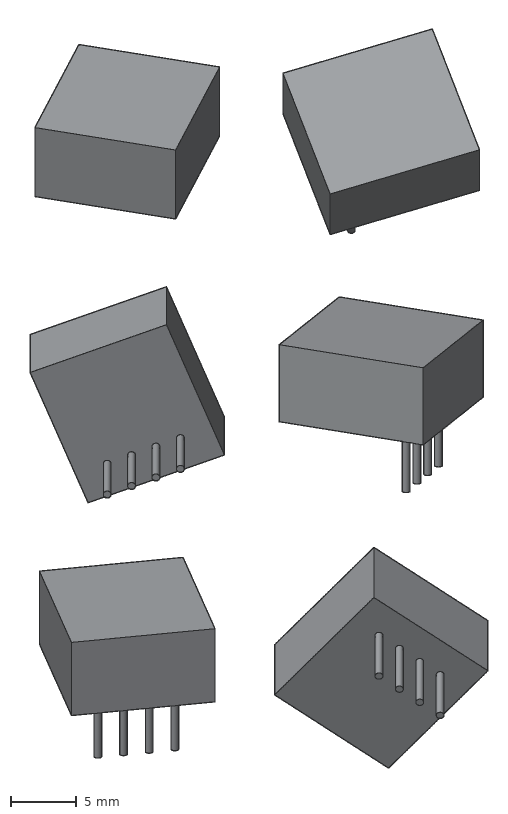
import cadquery as cq

housing_width = 11.2
housing_depth = 12.05
housing_height = 6.3
overall_height = 11.4

pin_count = 4
pin_diameter = 0.6
pin_pitch = 2.0
pin_row_inset = 2.59
pin_length = overall_height - housing_height
pin_row_y = housing_depth / 2 - pin_row_inset
first_pin_x = -pin_pitch * (pin_count - 1) / 2


def make_housing():
    """Plain rectangular block standing on the Z = 0 plane."""
    return cq.Workplane("XY").box(
        housing_width, housing_depth, housing_height, centered=(True, True, False)
    )


def make_pin(x):
    """Round pin hanging from the housing underside at the given X."""
    return cq.Workplane("XY").center(x, pin_row_y).circle(pin_diameter / 2).extrude(-pin_length)


housing = make_housing()
pins = [make_pin(first_pin_x + i * pin_pitch) for i in range(pin_count)]

result = cq.Compound.makeCompound([housing.val(), *[pin.val() for pin in pins]])